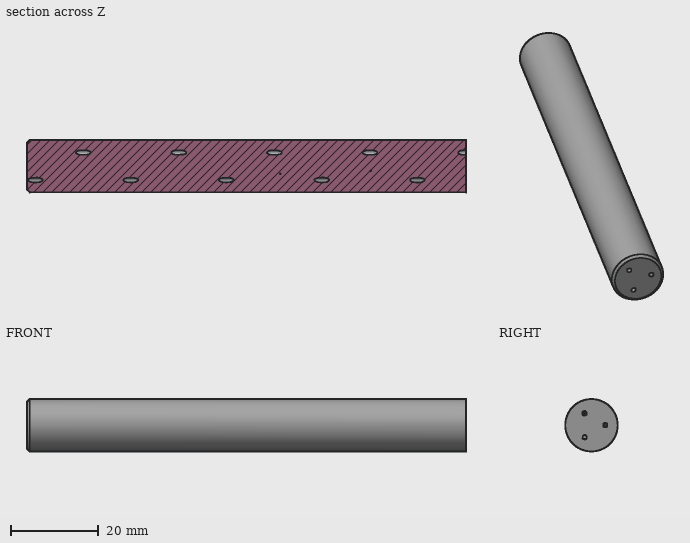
import cadquery as cq
import math

rod_length = 100.0
rod_diameter = 12.0

chamfer_length = 0.6
chamfer_depth = 0.6

channel_count = 3
channel_diameter = 1.0
channel_circle_diameter = 6.3
first_channel_angle = 49.5
helix_angle = 30.0
helix_pitch = math.pi * rod_diameter / math.tan(math.radians(helix_angle))
total_twist = 360.0 * rod_length / helix_pitch

start_plane = cq.Plane(origin=(-rod_length / 2, 0, 0), xDir=(0, 1, 0), normal=(1, 0, 0))


def make_rod():
    """Revolve the half section of the rod, including its chamfered end."""
    radius = rod_diameter / 2
    start_x = -rod_length / 2
    end_x = rod_length / 2
    return (
        cq.Workplane("XY")
        .moveTo(start_x, 0)
        .lineTo(start_x, radius - chamfer_depth)
        .lineTo(start_x + chamfer_length, radius)
        .lineTo(end_x, radius)
        .lineTo(end_x, 0)
        .close()
        .revolve(360, (0, 0, 0), (1, 0, 0))
    )


def make_channel(start_angle):
    """Twist one round channel about the rod axis over the full length."""
    angle = math.radians(start_angle)
    offset = channel_circle_diameter / 2
    return (
        cq.Workplane(start_plane)
        .moveTo(offset * math.cos(angle), offset * math.sin(angle))
        .circle(channel_diameter / 2)
        .twistExtrude(rod_length, total_twist)
    )


result = make_rod()
for index in range(channel_count):
    result = result.cut(make_channel(first_channel_angle + index * 360.0 / channel_count))